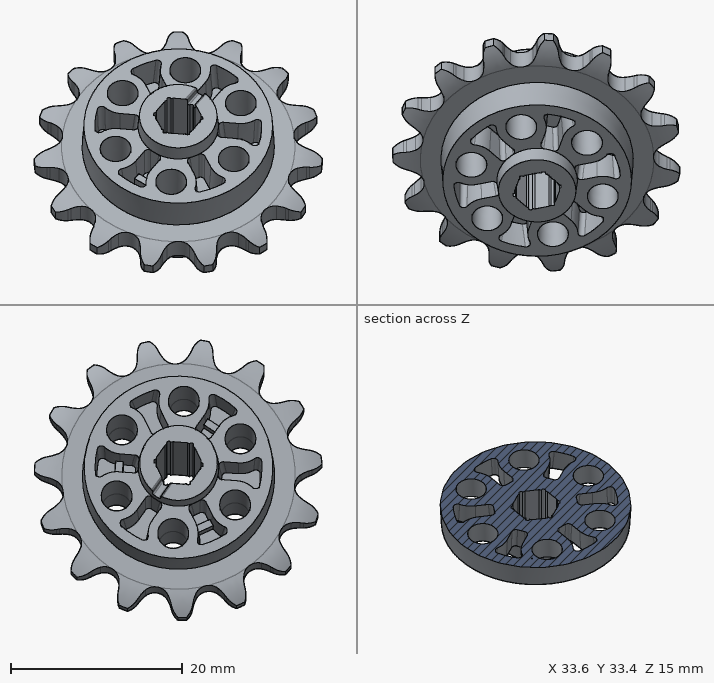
import cadquery as cq
import math

TOOTH_COUNT = 15
CHAIN_PITCH = 6.35
ROLLER_DIAMETER = 3.302
SEATING_CLEARANCE = 0.038
TIP_RADIUS = 16.84
PLATE_THICKNESS = 2.8
TIP_THICKNESS = 1.34
TOOTH_CROWN_START_RADIUS = 13.62
FIRST_TOOTH_ANGLE = -90.0
GAP_OVERRUN = 1.0

SEAT_RADIUS_RATIO = 0.5025
WORKING_CENTRE_RATIO = 0.8
TOPPING_CENTRE_RATIO = 1.4
SEAT_ANGLE = 35 + 60 / TOOTH_COUNT
WORKING_SWEEP = 18 - 56 / TOOTH_COUNT

RIM_RADIUS = 11.0
RIM_HEIGHT = 11.0
RIM_DRAFT = 3.0
BOSS_RADIUS = 4.52
BOSS_HEIGHT = 15.0
BOSS_DRAFT = 5.0

HEX_SIDES = 6
HEX_ACROSS_FLATS = 5.0
CORNER_RELIEF_RADIUS = 0.24
CORNER_RELIEF_DISTANCE = 2.64

HOLE_COUNT = 6
HOLE_CIRCLE_RADIUS = 8.0
HOLE_RADIUS = 1.7
HOLE_DRAFT = 1.0

POCKET_HALF_WIDTH = 1.08
POCKET_INNER = 4.68
POCKET_OUTER = 9.73
POCKET_DRAFT = 3.0
POCKET_INNER_DRAFT = 5.0
POCKET_CORNER_RADIUS = 0.5
FIRST_POCKET_ANGLE = 30.0

RIB_RADIUS = 6.97
RIB_BASE_WIDTH = 0.98
RIB_HEIGHT = 1.2
RIB_DRAFT = 3.0

GROOVE_WIDTH = 1.1
GROOVE_DEPTH = 1.0
GROOVE_FILLET = 0.2

PLATE_Z = PLATE_THICKNESS / 2
RIM_Z = RIM_HEIGHT / 2
BOSS_Z = BOSS_HEIGHT / 2
POCKET_DEPTH = RIM_Z - PLATE_Z
HALF_TOOTH_ANGLE = math.radians(180 / TOOTH_COUNT)
PITCH_RADIUS = CHAIN_PITCH / 2 / math.sin(HALF_TOOTH_ANGLE)


def draft_shift(height, degrees):
    """Sideways shift of a drafted wall over a height."""
    return height * math.tan(math.radians(degrees))


def polar(radius, angle):
    return (radius * math.cos(angle), radius * math.sin(angle))


def add(p, q):
    return (p[0] + q[0], p[1] + q[1])


def mirror_x(p):
    return (-p[0], p[1])


def tooth_blank():
    """Disc whose rim thins towards the tooth tips along tangent arcs."""
    tip_z = TIP_THICKNESS / 2
    run = TIP_RADIUS - TOOTH_CROWN_START_RADIUS
    drop = PLATE_Z - tip_z
    crown_radius = (run**2 + drop**2) / (2 * drop)
    half_sweep = math.asin(run / crown_radius) / 2
    mid_r = TOOTH_CROWN_START_RADIUS + crown_radius * math.sin(half_sweep)
    mid_z = PLATE_Z - crown_radius * (1 - math.cos(half_sweep))
    return (
        cq.Workplane("XZ")
        .moveTo(0, -PLATE_Z)
        .lineTo(TOOTH_CROWN_START_RADIUS, -PLATE_Z)
        .threePointArc((mid_r, -mid_z), (TIP_RADIUS, -tip_z))
        .lineTo(TIP_RADIUS, tip_z)
        .threePointArc((mid_r, mid_z), (TOOTH_CROWN_START_RADIUS, PLATE_Z))
        .lineTo(0, PLATE_Z)
        .close()
        .revolve(360, (0, 0, 0), (0, 1, 0))
    )


def tooth_gap():
    """Cutter for one roller gap centred on +Y, with the ANSI roller chain tooth form."""
    seat_radius = SEAT_RADIUS_RATIO * ROLLER_DIAMETER + SEATING_CLEARANCE
    seat_angle = math.radians(SEAT_ANGLE)
    working_sweep = math.radians(WORKING_SWEEP)
    working_centre_offset = WORKING_CENTRE_RATIO * ROLLER_DIAMETER
    working_radius = working_centre_offset + seat_radius
    topping_centre_offset = TOPPING_CENTRE_RATIO * ROLLER_DIAMETER
    end_angle = seat_angle - working_sweep

    roller = (0, PITCH_RADIUS)
    working_centre = add(roller, polar(working_centre_offset, seat_angle))
    topping_centre = add(roller, polar(-topping_centre_offset, HALF_TOOTH_ANGLE))
    topping_radius = (
        working_centre_offset * math.cos(working_sweep)
        + topping_centre_offset * math.cos(end_angle - HALF_TOOTH_ANGLE)
        - working_radius
    )

    root = (0, PITCH_RADIUS - seat_radius)
    seat_end = add(roller, polar(-seat_radius, seat_angle))
    working_mid = add(working_centre, polar(-working_radius, seat_angle - working_sweep / 2))
    working_end = add(working_centre, polar(-working_radius, end_angle))
    topping_start = add(topping_centre, polar(topping_radius, end_angle))

    centre_distance = math.hypot(*topping_centre)
    centre_direction = math.atan2(topping_centre[1], topping_centre[0])
    tip_turn = math.acos(
        (TIP_RADIUS**2 - centre_distance**2 - topping_radius**2)
        / (2 * centre_distance * topping_radius)
    )
    tip_angle = centre_direction - tip_turn
    topping_mid = add(topping_centre, polar(topping_radius, (end_angle + tip_angle) / 2))
    topping_end = add(topping_centre, polar(topping_radius, tip_angle))
    outside = (topping_end[0], TIP_RADIUS + GAP_OVERRUN)

    return (
        cq.Workplane("XY")
        .workplane(offset=-PLATE_Z - GAP_OVERRUN)
        .moveTo(*outside)
        .lineTo(*topping_end)
        .threePointArc(topping_mid, topping_start)
        .lineTo(*working_end)
        .threePointArc(working_mid, seat_end)
        .threePointArc(root, mirror_x(seat_end))
        .threePointArc(mirror_x(working_mid), mirror_x(working_end))
        .lineTo(*mirror_x(topping_start))
        .threePointArc(mirror_x(topping_mid), mirror_x(topping_end))
        .lineTo(*mirror_x(outside))
        .close()
        .extrude(PLATE_THICKNESS + 2 * GAP_OVERRUN)
    )


def toothed_plate():
    plate = tooth_blank()
    gap = tooth_gap()
    tooth_step = 360 / TOOTH_COUNT
    first_turn = FIRST_TOOTH_ANGLE - 90 + tooth_step / 2
    for i in range(TOOTH_COUNT):
        plate = plate.cut(gap.rotate((0, 0, 0), (0, 0, 1), first_turn + i * tooth_step))
    return plate


def drafted_step(face_radius, face_z, draft):
    """Cone frustum from mid-thickness up to its narrower face."""
    base_radius = face_radius + draft_shift(face_z, draft)
    return cq.Workplane(cq.Solid.makeCone(base_radius, face_radius, face_z))


def both_sides(upper):
    return upper.union(upper.mirror("XY"))


def hub():
    rim = drafted_step(RIM_RADIUS, RIM_Z, RIM_DRAFT)
    boss = drafted_step(BOSS_RADIUS, BOSS_Z, BOSS_DRAFT)
    return both_sides(rim.union(boss))


def hex_bore():
    """Hexagon with corners up and down, each sharp corner replaced by a small round relief."""
    hexagon = (
        cq.Workplane("XY")
        .workplane(offset=-BOSS_Z)
        .polygon(HEX_SIDES, HEX_ACROSS_FLATS, circumscribed=True)
        .extrude(BOSS_HEIGHT)
    )
    corner_limit = (
        cq.Workplane("XY")
        .workplane(offset=-BOSS_Z)
        .circle(CORNER_RELIEF_DISTANCE)
        .extrude(BOSS_HEIGHT)
    )
    reliefs = (
        cq.Workplane("XY")
        .workplane(offset=-BOSS_Z)
        .polarArray(CORNER_RELIEF_DISTANCE, 90, 360, HEX_SIDES)
        .circle(CORNER_RELIEF_RADIUS)
        .extrude(BOSS_HEIGHT)
    )
    return hexagon.intersect(corner_limit).union(reliefs)


def bolt_holes():
    face_radius = HOLE_RADIUS + draft_shift(RIM_Z, HOLE_DRAFT)
    upper = (
        cq.Workplane("XY")
        .polarArray(HOLE_CIRCLE_RADIUS, 0, 360, HOLE_COUNT)
        .eachpoint(lambda place: cq.Solid.makeCone(HOLE_RADIUS, face_radius, RIM_Z).moved(place))
    )
    return both_sides(upper)


def pocket_outline(z, depth):
    """Pocket section along +X at a depth below the rim face; its flare runs round the bolt holes."""
    inset = draft_shift(depth, POCKET_DRAFT)
    half_width = POCKET_HALF_WIDTH - inset
    inner = POCKET_INNER + draft_shift(depth, POCKET_INNER_DRAFT)
    outer = POCKET_OUTER - inset

    hole_angle = math.pi / HOLE_COUNT
    hole = polar(HOLE_CIRCLE_RADIUS, hole_angle)
    flare_radius = hole[1] - half_width
    outer_angle = hole_angle - math.acos(
        (outer**2 + HOLE_CIRCLE_RADIUS**2 - flare_radius**2) / (2 * outer * HOLE_CIRCLE_RADIUS)
    )
    tip = polar(outer, outer_angle)
    tip_direction = math.atan2(tip[1] - hole[1], tip[0] - hole[0])
    flare_mid = add(hole, polar(flare_radius, (tip_direction - math.pi / 2) / 2))

    wire = (
        cq.Workplane("XY")
        .workplane(offset=z)
        .moveTo(inner, -half_width)
        .lineTo(hole[0], -half_width)
        .threePointArc((flare_mid[0], -flare_mid[1]), (tip[0], -tip[1]))
        .threePointArc((outer, 0), tip)
        .threePointArc(flare_mid, (hole[0], half_width))
        .lineTo(inner, half_width)
        .close()
        .val()
    )
    corners = [
        v for v in wire.Vertices()
        if abs(v.X - hole[0]) > POCKET_CORNER_RADIUS
    ]
    return wire.fillet2D(POCKET_CORNER_RADIUS, corners)


def pocket():
    floor = pocket_outline(PLATE_Z, POCKET_DEPTH)
    mouth = pocket_outline(RIM_Z, 0)
    return cq.Workplane(cq.Solid.makeLoft([floor, mouth], True))


def floor_rib():
    """Cross rib over the full pocket width; its ends merge with the pocket walls."""
    return (
        cq.Workplane("XY")
        .workplane(offset=PLATE_Z)
        .center(RIB_RADIUS, 0)
        .rect(RIB_BASE_WIDTH, 2 * POCKET_HALF_WIDTH)
        .extrude(RIB_HEIGHT, taper=RIB_DRAFT)
    )


def alignment_groove():
    """Groove from the bore outwards, rounded along its floor and flared to a round at its mouth."""
    half_width = GROOVE_WIDTH / 2
    mouth_half = half_width + GROOVE_FILLET
    floor_half = half_width - GROOVE_FILLET
    floor_z = BOSS_Z - GROOVE_DEPTH
    wall_top = BOSS_Z - GROOVE_FILLET
    wall_bottom = floor_z + GROOVE_FILLET
    bulge = GROOVE_FILLET * math.sqrt(0.5)
    floor_mid = (floor_half + bulge, wall_bottom - bulge)
    mouth_mid = (mouth_half - bulge, wall_top + bulge)
    return (
        cq.Workplane("XZ")
        .moveTo(-floor_half, floor_z)
        .lineTo(floor_half, floor_z)
        .threePointArc(floor_mid, (half_width, wall_bottom))
        .lineTo(half_width, wall_top)
        .threePointArc(mouth_mid, (mouth_half, BOSS_Z))
        .lineTo(-mouth_half, BOSS_Z)
        .threePointArc(mirror_x(mouth_mid), (-half_width, wall_top))
        .lineTo(-half_width, wall_bottom)
        .threePointArc(mirror_x(floor_mid), (-floor_half, floor_z))
        .close()
        .extrude(-POCKET_INNER)
    )


body = toothed_plate().union(hub())

plain_pocket = pocket()
ribbed_pocket = plain_pocket.cut(floor_rib())
for i in range(HOLE_COUNT):
    angle = FIRST_POCKET_ANGLE + i * 360 / HOLE_COUNT
    upper_pocket = ribbed_pocket if i % 2 == 0 else plain_pocket
    lower_pocket = plain_pocket.mirror("XY")
    for cutter in (upper_pocket, lower_pocket):
        body = body.cut(cutter.rotate((0, 0, 0), (0, 0, 1), angle))

result = body.cut(bolt_holes()).cut(hex_bore()).cut(alignment_groove())